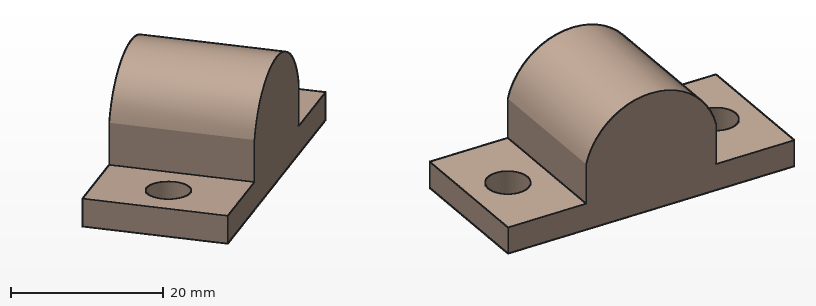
import cadquery as cq

length_x = 20.0
base_width = 44.0
base_thickness = 4.0
hump_width = 20.0
shoulder_height = 10.0
total_height = 17.83
hole_diameter = 6.0
hole_spacing = 32.0


def make_base():
    """Flat mounting plate, centred on X and Y, resting on Z = 0."""
    return cq.Workplane("XY").box(
        length_x, base_width, base_thickness, centered=(True, True, False)
    )


def make_hump():
    """Straight-walled hump with an arched crown, running along X."""
    half_width = hump_width / 2
    return (
        cq.Workplane("YZ")
        .moveTo(-half_width, 0)
        .lineTo(half_width, 0)
        .lineTo(half_width, shoulder_height)
        .threePointArc((0, total_height), (-half_width, shoulder_height))
        .close()
        .extrude(length_x / 2, both=True)
    )


def cut_mounting_holes(body):
    """One through hole in each flange, mirrored about the hump."""
    hole_centres = [(0, side * hole_spacing / 2) for side in (-1, 1)]
    holes = (
        cq.Workplane("XY")
        .pushPoints(hole_centres)
        .circle(hole_diameter / 2)
        .extrude(base_thickness)
    )
    return body.cut(holes)


result = cut_mounting_holes(make_base().union(make_hump()))